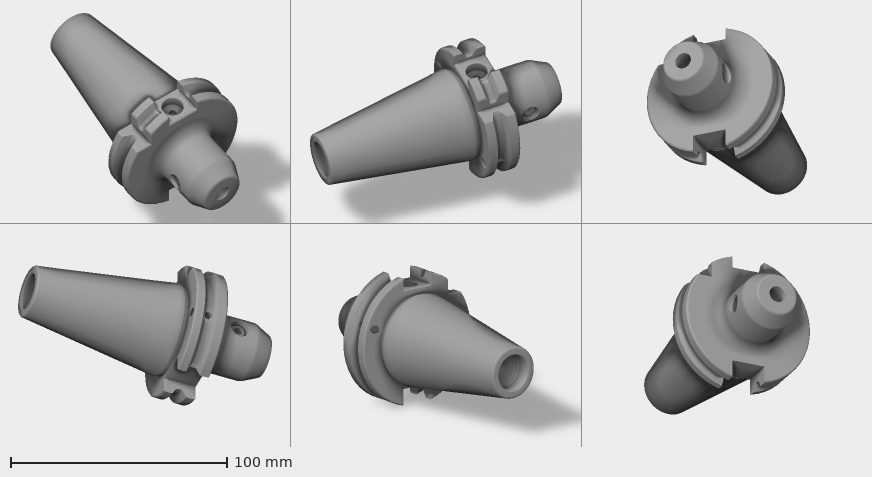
import cadquery as cq
import math


length = 118.4
gauge_x = 68.8
land_length = 1.0
neck_step_length = 0.4
flange_back_x = 71.6
flange_front_x = 87.5
flange_middle_x = 79.3

taper_end_radius = 12.3
gauge_radius = 22.3
land_radius = 22.1
neck_radius = 21.8
flange_radius = 63.3 / 2
nose_radius = 14.0
nose_cone_length = 8.6
nose_cone_angle = 25.0
nose_end_radius = nose_radius - nose_cone_length * math.tan(math.radians(nose_cone_angle))
taper_end_fillet = 1.2
flange_fillet = 1.0
nose_root_fillet = 5.0
nose_cone_fillet = 2.4
nose_end_fillet = 1.4

groove_width = 7.0
groove_floor_radius = 28.1
groove_flank_angle = 30.0
groove_fillet = 1.0

bore_radius = 3.9
mouth_fillet = 1.0
lead_radius = 8.4
lead_depth = 6.0
seat_radius = 7.9
seat_end_x = 32.0

sleeve_front_x = 7.7
sleeve_chamfer_radius = 7.0
sleeve_chamfer_length = 1.2
funnel_half_angle = 60.0

slot_width = 16.3
upper_slot_z = 25.0
lower_slot_z = 22.5
slot_chamfer = 0.6
notch_distance = 18.4
notch_chamfer = 0.5

chip_radius = 5.1
chip_depth = 4.7
chip_chamfer = 0.2
pilot_radius = 1.8
pilot_depth = 2.4
drill_point_half_angle = 59.0

coolant_angles = (110.0, -70.0)
coolant_tilt = 40.0
feed_radius = 2.0
feed_inlet_radius = 26.8
feed_length = 11.2
cross_hole_radius = 1.4
cross_hole_floor_radius = 20.7
countersink_radius = 1.9
countersink_depth = 1.4

screw_x = 100.4
screw_radius = 4.0
screw_head_distance = 11.8
screw_chamfer = 1.0
screw_mouth_radius = 4.4
screw_mouth_floor = 12.9
socket_across_flats = 4.0
socket_depth = 3.5
balance_hole_x = 99.7
balance_hole_radius = 5.1
balance_hole_floor = 10.7

selection_margin = 0.1
clearance = 5.9


def revolve_about_x(points):
    return cq.Workplane("XY").polyline(points).close().revolve(360, (0, 0, 0), (1, 0, 0))


def turned_body():
    step_x = gauge_x + land_length
    cone_x = length - nose_cone_length
    body = (
        cq.Workplane("XY")
        .moveTo(0, 0)
        .lineTo(0, taper_end_radius)
        .lineTo(gauge_x, gauge_radius)
        .lineTo(gauge_x, land_radius)
        .lineTo(step_x, land_radius)
        .lineTo(step_x + neck_step_length, neck_radius)
        .lineTo(flange_back_x, neck_radius)
        .lineTo(flange_back_x, flange_radius)
        .lineTo(flange_front_x, flange_radius)
        .lineTo(flange_front_x, nose_radius + nose_root_fillet)
        .radiusArc((flange_front_x + nose_root_fillet, nose_radius), -nose_root_fillet)
        .lineTo(cone_x, nose_radius)
        .lineTo(length, nose_end_radius)
        .lineTo(length, 0)
        .close()
        .revolve(360, (0, 0, 0), (1, 0, 0))
    )
    body = body.faces("<X").edges().fillet(taper_end_fillet)
    body = body.faces(">X").edges().fillet(nose_end_fillet)
    body = body.edges(cq.selectors.RadiusNthSelector(-1)).fillet(flange_fillet)
    nose_cone_edge = cq.NearestToPointSelector((cone_x, 0, 0))
    return body.edges(nose_cone_edge).fillet(nose_cone_fillet)


def v_groove():
    flank_run = (flange_radius - groove_floor_radius) * math.tan(math.radians(groove_flank_angle))
    half_width = groove_width / 2
    half_floor = half_width - flank_run
    outer_radius = flange_radius + clearance
    groove = revolve_about_x([
        (flange_middle_x - half_width, outer_radius),
        (flange_middle_x - half_width, flange_radius),
        (flange_middle_x - half_floor, groove_floor_radius),
        (flange_middle_x + half_floor, groove_floor_radius),
        (flange_middle_x + half_width, flange_radius),
        (flange_middle_x + half_width, outer_radius),
    ])
    return groove.edges(cq.selectors.RadiusNthSelector(0)).fillet(groove_fillet)


def axial_bore():
    return revolve_about_x([
        (0, 0),
        (0, lead_radius),
        (lead_depth, lead_radius),
        (lead_depth, seat_radius),
        (seat_end_x, seat_radius),
        (seat_end_x, bore_radius),
        (length, bore_radius),
        (length, 0),
    ])


def flange_block(y_min, y_max, z_min, z_max):
    """A block as wide as the flange, for cutting slots across it."""
    width = flange_front_x - flange_back_x
    block = cq.Workplane("XY").box(width, y_max - y_min, z_max - z_min, centered=False)
    return block.translate((flange_back_x, y_min, z_min))


def cut_slots_and_notch(body):
    reach = flange_radius + clearance
    half_width = slot_width / 2
    body = body.cut(flange_block(-half_width, half_width, upper_slot_z, reach))
    body = body.cut(flange_block(-half_width, half_width, -reach, -lower_slot_z))
    body = body.cut(flange_block(-reach, -notch_distance, notch_distance, reach))
    upper_floor = cq.NearestToPointSelector((flange_middle_x, 0, upper_slot_z))
    body = body.faces(upper_floor).edges("|Y").chamfer(slot_chamfer)
    notch_edges = cq.selectors.BoxSelector(
        (flange_back_x - selection_margin, -flange_radius, notch_distance - selection_margin),
        (flange_front_x + selection_margin, selection_margin - notch_distance, flange_radius),
    )
    return body.edges(notch_edges).edges("|Y or |Z").edges("<X or >X").chamfer(notch_chamfer)


def drilled_hole(radius, depth):
    """A blind hole with a drill point, running down from the origin along -Z."""
    point_length = radius / math.tan(math.radians(drill_point_half_angle))
    return (
        cq.Workplane("XZ")
        .polyline([(0, 0), (radius, 0), (radius, -depth), (0, -depth - point_length)])
        .close()
        .revolve(360, (0, 0, 0), (0, 1, 0))
    )


def chip_seat():
    mouth = cq.Workplane("XY").circle(chip_radius + chip_chamfer).extrude(-chip_chamfer, taper=45)
    seat = cq.Workplane("XY").circle(chip_radius).extrude(-chip_depth)
    pilot = drilled_hole(pilot_radius, pilot_depth).translate((0, 0, -chip_depth))
    return seat.union(mouth).union(pilot).translate((flange_middle_x, 0, upper_slot_z))


def coolant_holes():
    """A feed hole slanting in from the back of the flange to a cross hole in the groove."""
    tilt = math.radians(coolant_tilt)
    direction = cq.Vector(math.cos(tilt), 0, -math.sin(tilt))
    inlet = cq.Vector(flange_back_x, 0, feed_inlet_radius)
    feed_plane = cq.Plane(origin=inlet - direction * clearance, xDir=(0, 1, 0), normal=direction)
    feed = cq.Workplane(feed_plane).circle(feed_radius).extrude(clearance + feed_length)
    cross_depth = groove_floor_radius - cross_hole_floor_radius
    cross_hole = drilled_hole(cross_hole_radius, cross_depth)
    countersink = cq.Workplane(
        cq.Solid.makeCone(cross_hole_radius, countersink_radius, countersink_depth)
    ).translate((0, 0, -countersink_depth))
    mouth = cq.Workplane("XY").circle(countersink_radius).extrude(clearance)
    cross_hole = cross_hole.union(countersink).union(mouth)
    return feed.union(cross_hole.translate((flange_middle_x, 0, groove_floor_radius)))


def radial_cylinder(x, radius, start, end):
    """A cylinder along -Y between two distances from the axis; negative ones lie on +Y."""
    plane = cq.Workplane("XZ", origin=(x, 0, 0)).workplane(offset=start)
    return plane.circle(radius).extrude(end - start)


def screw_hole():
    """A hole from the axial bore out through the -Y side, coned up to its wider mouth."""
    hole = radial_cylinder(screw_x, screw_radius, 0, nose_radius)
    mouth = radial_cylinder(screw_x, screw_mouth_radius, screw_mouth_floor, nose_radius)
    cone_height = screw_mouth_radius - screw_radius
    cone = cq.Workplane(
        cq.Solid.makeCone(
            screw_mouth_radius,
            screw_radius,
            cone_height,
            pnt=cq.Vector(screw_x, -screw_mouth_floor, 0),
            dir=cq.Vector(0, 1, 0),
        )
    )
    return hole.union(mouth).union(cone)


def make_holder():
    body = cut_slots_and_notch(turned_body().cut(v_groove())).cut(axial_bore())
    body = body.faces("<X").edges(cq.selectors.RadiusNthSelector(0)).fillet(mouth_fillet)
    body = body.cut(chip_seat())
    for angle in coolant_angles:
        body = body.cut(coolant_holes().rotate((0, 0, 0), (1, 0, 0), angle))
    balance_hole = radial_cylinder(balance_hole_x, balance_hole_radius, -nose_radius, -balance_hole_floor)
    return body.cut(screw_hole()).cut(balance_hole)


def make_screw():
    screw = radial_cylinder(screw_x, screw_radius, bore_radius, screw_head_distance)
    screw = screw.faces("<Y").edges().chamfer(screw_chamfer)
    corner_diameter = socket_across_flats / math.cos(math.pi / 6)
    return screw.faces("<Y").workplane().polygon(6, corner_diameter).cutBlind(-socket_depth)


def make_sleeve():
    chamfer_end_x = sleeve_front_x + sleeve_chamfer_length
    funnel_length = (sleeve_chamfer_radius - bore_radius) / math.tan(math.radians(funnel_half_angle))
    return revolve_about_x([
        (sleeve_front_x, seat_radius),
        (chamfer_end_x, sleeve_chamfer_radius),
        (chamfer_end_x + funnel_length, bore_radius),
        (seat_end_x, bore_radius),
        (seat_end_x, seat_radius),
    ])


holder = make_holder()
screw = make_screw()
sleeve = make_sleeve()

result = cq.Compound.makeCompound([holder.val(), screw.val(), sleeve.val()])